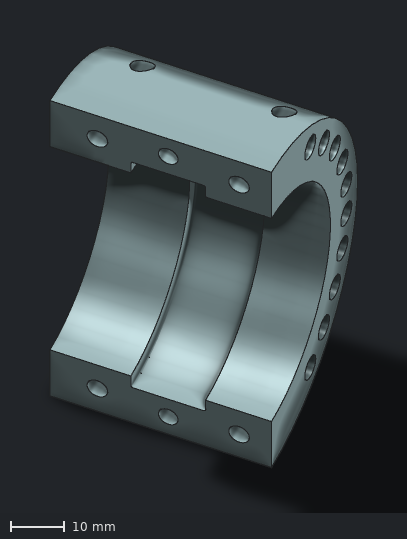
import math

import cadquery as cq

length = 45.4
outer_radius = 40.0
bore_radius = 27.5
split_offset = 0.55

groove_start = 16.6
groove_width = 15.3
groove_radius = 30.5
groove_fillet = 0.5

axial_hole_count = 10
axial_hole_diameter = 5.0
axial_circle_radius = 35.0
axial_hole_pitch_angle = 13.0

bolt_hole_diameter = 4.2
bolt_first_x = 9.75
bolt_spacing_x = 29.0
bolt_height = 33.8

dowel_diameter = 4.0
dowel_depth = 10.0
dowel_x = groove_start + groove_width / 2
dowel_height = 35.25


def x_cylinder(radius, start, width):
    """Solid cylinder on the X axis from x = start."""
    return cq.Workplane("YZ").workplane(offset=start).circle(radius).extrude(width)


def y_cylinder(diameter, x, z, depth):
    """Solid cylinder from the split face into the wall."""
    base = cq.Workplane("XZ", origin=(x, split_offset, z))
    return base.circle(diameter / 2).extrude(-depth)


def make_half_ring():
    ring = x_cylinder(outer_radius, 0, length).cut(x_cylinder(bore_radius, 0, length))
    groove = x_cylinder(groove_radius, groove_start, groove_width).edges("%CIRCLE").fillet(groove_fillet)
    kept_depth = outer_radius - split_offset
    kept_half = cq.Workplane("XY").box(
        length, kept_depth, 2 * outer_radius, centered=(False, False, True)
    ).translate((0, split_offset, 0))
    return ring.cut(groove).intersect(kept_half)


def drill_axial_holes(body):
    first_angle = -axial_hole_pitch_angle * (axial_hole_count - 1) / 2
    for index in range(axial_hole_count):
        angle = math.radians(first_angle + index * axial_hole_pitch_angle)
        y = axial_circle_radius * math.cos(angle)
        z = axial_circle_radius * math.sin(angle)
        hole = x_cylinder(axial_hole_diameter / 2, 0, length).translate((0, y, z))
        body = body.cut(hole)
    return body


def drill_split_face(body):
    for side in (-1, 1):
        for x in (bolt_first_x, bolt_first_x + bolt_spacing_x):
            body = body.cut(y_cylinder(bolt_hole_diameter, x, side * bolt_height, outer_radius))
        body = body.cut(y_cylinder(dowel_diameter, dowel_x, side * dowel_height, dowel_depth))
    return body


half_ring = make_half_ring()
drilled_ring = drill_axial_holes(half_ring)
result = drill_split_face(drilled_ring)